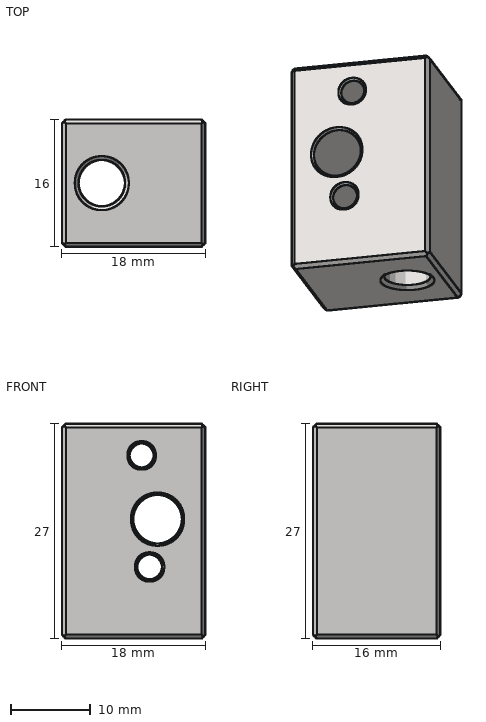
import cadquery as cq

length_x = 18.0
width_y = 16.0
height_z = 27.0
edge_chamfer = 0.5

vertical_bore_diameter = 5.8
vertical_bore_x = 5.0
vertical_bore_y = width_y / 2
vertical_bore_chamfer = 0.5

cross_holes = [
    (3.0, 10.0, 23.0),
    (6.1, 12.0, 15.0),
    (3.1, 11.0, 9.0),
]
cross_hole_chamfer = 0.3


def chamfered_hole(start, direction, depth, diameter, chamfer):
    """Cutter for a through hole with a 45 degree chamfer at both mouths."""
    radius = diameter / 2
    mouth_radius = radius + chamfer
    end = start + direction * depth
    bore = cq.Solid.makeCylinder(radius, depth, start, direction)
    entry = cq.Solid.makeCone(mouth_radius, radius, chamfer, start, direction)
    far_mouth = cq.Solid.makeCone(mouth_radius, radius, chamfer, end, -direction)
    return bore.fuse(entry, far_mouth)


def mitred_block():
    """Block with all edges chamfered, the three chamfers at each corner meeting in a point."""
    plain_block = cq.Workplane("XY").box(length_x, width_y, height_z, centered=False)
    block = plain_block
    for edge_direction in ("|X", "|Y", "|Z"):
        block = block.intersect(plain_block.edges(edge_direction).chamfer(edge_chamfer))
    return block


result = mitred_block()

result = result.cut(
    chamfered_hole(
        cq.Vector(vertical_bore_x, vertical_bore_y, 0),
        cq.Vector(0, 0, 1),
        height_z,
        vertical_bore_diameter,
        vertical_bore_chamfer,
    )
)

for hole_diameter, hole_x, hole_z in cross_holes:
    result = result.cut(
        chamfered_hole(
            cq.Vector(hole_x, 0, hole_z),
            cq.Vector(0, 1, 0),
            width_y,
            hole_diameter,
            cross_hole_chamfer,
        )
    )